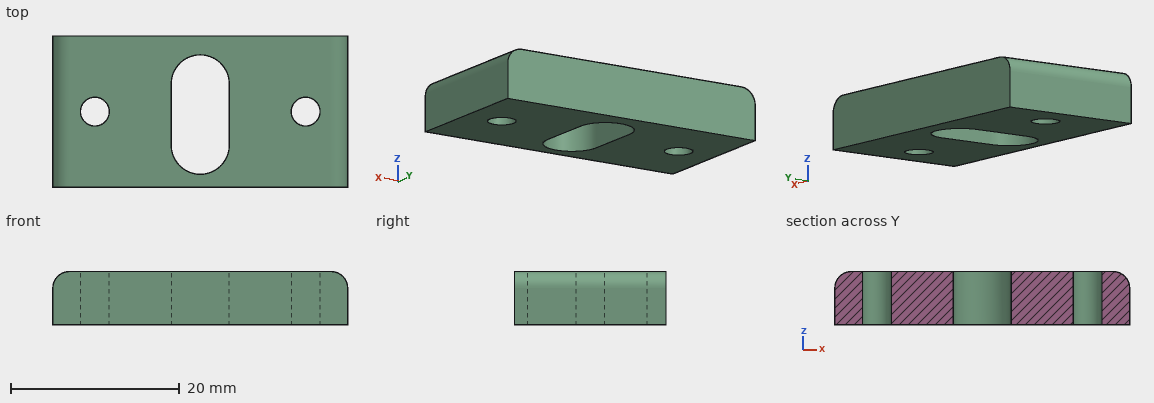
import cadquery as cq

length = 35.0
width = 18.0
height = 6.35
end_round_radius = 2.0

hole_diameter = 3.4
hole_spacing = 25.0
slot_width = 6.85
slot_length = 14.15
slot_offset_y = -0.35

block = cq.Workplane("XY").box(length, width, height, centered=(True, True, False))
block = block.edges("|Y and >Z").fillet(end_round_radius)

slot = (
    cq.Workplane("XY")
    .center(0, slot_offset_y)
    .slot2D(slot_length, slot_width, angle=90)
    .extrude(height)
)

hole_centers = [(side * hole_spacing / 2, 0) for side in (-1, 1)]
holes = cq.Workplane("XY").pushPoints(hole_centers).circle(hole_diameter / 2).extrude(height)

result = block.cut(slot).cut(holes)